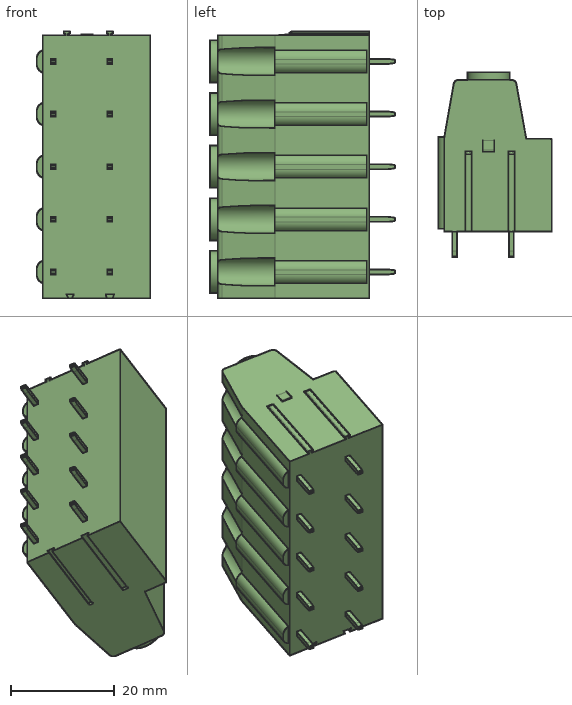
import cadquery as cq

POLE_COUNT = 5
PITCH = 10.16
BODY_HEIGHT = POLE_COUNT * PITCH
POLE_CENTERS = [(index + 0.5) * PITCH for index in range(POLE_COUNT)]

BODY_WIDTH = 20.8
BODY_LENGTH = 29.3
TAPER_START_Y = 18.3
SHOULDER_Y = 17.95
SHOULDER_X = 15.85
TOP_LEFT_X = 1.95
TOP_RIGHT_X = 13.8
TOP_FILLET = 1.0
SHOULDER_FILLET = 0.4

SCREW_X = 8.55
SCREW_DIAMETER = 8.2
SCREW_HEIGHT = 1.5
SCREW_OVERLAP = 1.0

CHANNEL_RADIUS = 2.7
CHANNEL_AXIS_X = 0.5

RIB_HEIGHT = 1.2
RIB_WIDTH = 4.35
RIB_START_Y = 0.5
RIB_FLAT_WIDTH = 0.9

PIN_X_POSITIONS = (2.0, 12.95)
PIN_WIDTH = 0.95
PIN_THICKNESS = 1.0
PIN_LENGTH = 5.0
PIN_TIP_LENGTH = 1.3
PIN_SHOULDER_THICKNESS = 0.75
PIN_TIP_THICKNESS = 0.4
PIN_TIP_BEVEL = 0.25

RAIL_X_POSITIONS = (4.65, 12.95)
RAIL_HEIGHT = 0.75
RAIL_WIDTH = 1.25
RAIL_NECK_WIDTH = 0.55
RAIL_NECK_HEIGHT = 0.2
RAIL_UNDERCUT_HEIGHT = 0.15
RAIL_LENGTH = 15.5
RAIL_EDGE_FILLET = 0.17
RAIL_RAMP_LENGTH = 0.55
RAIL_RAMP_HEIGHT = 0.4

SLOTS = ((5.3, 1.45, 0.65), (12.95, 1.65, 1.1))

LATCH_WIDTH = 2.15
LATCH_START_Y = 15.45
LATCH_END_Y = 17.6
LATCH_CREST_LENGTH = 0.35
LATCH_HEIGHT = 0.15


def make_housing():
    profile = (
        cq.Workplane("XY")
        .moveTo(0, 0)
        .lineTo(BODY_WIDTH, 0)
        .lineTo(BODY_WIDTH, SHOULDER_Y)
        .lineTo(SHOULDER_X, SHOULDER_Y)
        .lineTo(TOP_RIGHT_X, BODY_LENGTH)
        .lineTo(TOP_LEFT_X, BODY_LENGTH)
        .lineTo(0, TAPER_START_Y)
        .close()
    )
    housing = profile.extrude(BODY_HEIGHT)
    housing = housing.edges("|Z and >Y").fillet(TOP_FILLET)
    shoulder_corner = cq.selectors.NearestToPointSelector((BODY_WIDTH, SHOULDER_Y, BODY_HEIGHT / 2))
    return housing.edges(shoulder_corner).fillet(SHOULDER_FILLET)


def along_y(start_y):
    """Sketch plane with local axes +X and +Z; negative extrusion runs toward +Y."""
    return cq.Workplane("XZ", origin=(0, start_y, 0))


def make_screw(center_z):
    length = SCREW_HEIGHT + SCREW_OVERLAP
    plane = along_y(BODY_LENGTH - SCREW_OVERLAP).center(SCREW_X, center_z)
    return plane.circle(SCREW_DIAMETER / 2).extrude(-length)


def make_channel(center_z):
    plane = along_y(TAPER_START_Y).center(CHANNEL_AXIS_X, center_z)
    return plane.circle(CHANNEL_RADIUS).extrude(TAPER_START_Y - BODY_LENGTH)


def make_rib(center_z):
    """Rib with a flat crest blended into a tangent round on each side."""
    flat_half = RIB_FLAT_WIDTH / 2
    round_width = RIB_WIDTH / 2 - flat_half
    round_radius = (RIB_HEIGHT**2 + round_width**2) / (2 * RIB_HEIGHT)
    return (
        along_y(RIB_START_Y)
        .moveTo(0, center_z - RIB_WIDTH / 2)
        .radiusArc((-RIB_HEIGHT, center_z - flat_half), round_radius)
        .lineTo(-RIB_HEIGHT, center_z + flat_half)
        .radiusArc((0, center_z + RIB_WIDTH / 2), round_radius)
        .close()
        .extrude(RIB_START_Y - TAPER_START_Y)
    )


def make_pin(center_x, center_z):
    half_outline = [
        (0, PIN_THICKNESS / 2),
        (PIN_TIP_LENGTH - PIN_LENGTH, PIN_THICKNESS / 2),
        (PIN_TIP_BEVEL - PIN_LENGTH, PIN_SHOULDER_THICKNESS / 2),
        (-PIN_LENGTH, PIN_TIP_THICKNESS / 2),
    ]
    mirrored_half = [(y, -z) for y, z in reversed(half_outline)]
    plane = cq.Workplane("YZ", origin=(center_x - PIN_WIDTH / 2, 0, center_z))
    return plane.polyline(half_outline + mirrored_half).close().extrude(PIN_WIDTH)


def make_rail(center_x):
    undercut_top = RAIL_NECK_HEIGHT + RAIL_UNDERCUT_HEIGHT
    half_outline = [
        (RAIL_NECK_WIDTH / 2, 0),
        (RAIL_NECK_WIDTH / 2, RAIL_NECK_HEIGHT),
        (RAIL_WIDTH / 2, undercut_top),
        (RAIL_WIDTH / 2, RAIL_HEIGHT),
    ]
    mirrored_half = [(-x, z) for x, z in reversed(half_outline)]
    plane = cq.Workplane("XZ", origin=(center_x, 0, BODY_HEIGHT))
    rail = plane.polyline(half_outline + mirrored_half).close().extrude(-RAIL_LENGTH)
    rail = rail.edges("|Y and >Z").fillet(RAIL_EDGE_FILLET)
    ramp = (
        cq.Workplane("YZ", origin=(center_x - RAIL_WIDTH / 2, RAIL_LENGTH, BODY_HEIGHT + RAIL_HEIGHT))
        .polyline([(0, 0), (-RAIL_RAMP_LENGTH, 0), (0, -RAIL_RAMP_HEIGHT)])
        .close()
        .extrude(RAIL_WIDTH)
    )
    return rail.cut(ramp)


def make_slot(center_x, inner_width, mouth_width):
    outline = [
        (center_x - mouth_width / 2, 0),
        (center_x + mouth_width / 2, 0),
        (center_x + inner_width / 2, RAIL_HEIGHT),
        (center_x - inner_width / 2, RAIL_HEIGHT),
    ]
    return along_y(0).polyline(outline).close().extrude(-RAIL_LENGTH)


def make_latch():
    outline = [
        (LATCH_START_Y, 0),
        (LATCH_START_Y, LATCH_HEIGHT),
        (LATCH_START_Y + LATCH_CREST_LENGTH, LATCH_HEIGHT),
        (LATCH_END_Y, 0),
    ]
    plane = cq.Workplane("YZ", origin=(SCREW_X - LATCH_WIDTH / 2, 0, BODY_HEIGHT))
    return plane.polyline(outline).close().extrude(LATCH_WIDTH)


result = make_housing()

for pole_z in POLE_CENTERS:
    result = result.cut(make_channel(pole_z))
    result = result.union(make_rib(pole_z))
    result = result.union(make_screw(pole_z))
    for pin_x in PIN_X_POSITIONS:
        result = result.union(make_pin(pin_x, pole_z))

for rail_x in RAIL_X_POSITIONS:
    result = result.union(make_rail(rail_x))

for slot_x, inner_width, mouth_width in SLOTS:
    result = result.cut(make_slot(slot_x, inner_width, mouth_width))

result = result.union(make_latch())